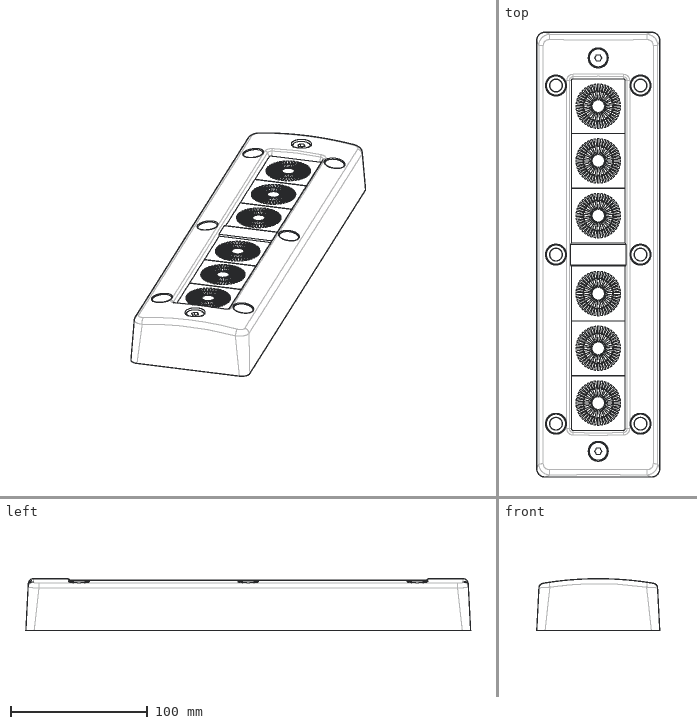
import cadquery as cq
import math

LENGTH = 325
WIDTH = 90.0
HEIGHT = 38.0
DRAFT_INSET = 2.0
BASE_CORNER_RADIUS = 6.2
TOP_CORNER_RADIUS = 8.5
CROWN_RADIUS = 243.8
TOP_EDGE_RADIUS = 4.0

MODULE_PITCH = 40.0
MODULES_PER_GROUP = 3
CENTRE_PANEL_LENGTH = 17.0
PANEL_RISE = 1.0
PANEL_SLOPE = 45
SEAM_SIZE = 0.15

FLOOR_WIDTH = 39.3
FLOOR_LENGTH = CENTRE_PANEL_LENGTH + 2 * MODULES_PER_GROUP * MODULE_PITCH
FLOOR_CORNER_RADIUS = 1.3
FLOOR_Z = 32.8
WALL_SLOPE = 25
RIM_RADIUS = 2.0
RIM_CLEARANCE = 0.5

GRILLE_DEPTH = 0.15
INNER_SLOT_COUNT = 20
INNER_SLOT_START = 4.5
INNER_SLOT_END = 10.5
INNER_SLOT_START_WIDTH = 0.5
INNER_SLOT_END_WIDTH = 2.0
OUTER_SLOT_COUNT = 40
OUTER_SLOT_START = 11.0
OUTER_SLOT_END = 16.2
OUTER_SLOT_WIDTH = 1.3

HOLE_DIAMETER = 9.0
COUNTERBORE_DIAMETER = 14.0
COUNTERBORE_FLOOR_Z = 28.0
COUNTERBORE_CHAMFER = 0.5
HOLE_X = 31.0
HOLE_PITCH = 123.5

SCREW_Y = 143.5
SCREW_HEAD_DIAMETER = 13
SCREW_RECESS_DIAMETER = 14.5
SCREW_HEAD_DROP = 1.3
SCREW_GAP_DEPTH = 2.5
SOCKET_SIDES = 6
SOCKET_WIDTH = 5.2
SOCKET_DEPTH = 2.0

MODULE_YS = [
    side * (CENTRE_PANEL_LENGTH / 2 + MODULE_PITCH * (index + 0.5))
    for side in (-1, 1)
    for index in range(MODULES_PER_GROUP)
]


def housing():
    base = cq.Sketch().rect(WIDTH, LENGTH).vertices().fillet(BASE_CORNER_RADIUS)
    top = (
        cq.Sketch()
        .rect(WIDTH - 2 * DRAFT_INSET, LENGTH - 2 * DRAFT_INSET)
        .vertices()
        .fillet(TOP_CORNER_RADIUS)
        .moved(cq.Location(cq.Vector(0, 0, HEIGHT)))
    )
    block = cq.Workplane("XY").placeSketch(base, top).loft()
    crown = (
        cq.Workplane("XZ")
        .center(0, HEIGHT - CROWN_RADIUS)
        .circle(CROWN_RADIUS)
        .extrude(LENGTH / 2, both=True)
    )
    return block.intersect(crown).faces(">Z").edges().fillet(TOP_EDGE_RADIUS)


def recessed(body):
    """Sinks the slope-sided recess into the crown and rounds its rim."""
    pocket = (
        cq.Workplane("XY", origin=(0, 0, FLOOR_Z))
        .sketch()
        .rect(FLOOR_WIDTH, FLOOR_LENGTH)
        .vertices()
        .fillet(FLOOR_CORNER_RADIUS)
        .finalize()
        .extrude(HEIGHT - FLOOR_Z, taper=-WALL_SLOPE)
    )
    wall_middle_z = (FLOOR_Z + HEIGHT) / 2
    rim = cq.selectors.BoxSelector(
        (-HOLE_X, -SCREW_Y, wall_middle_z + RIM_CLEARANCE), (HOLE_X, SCREW_Y, HEIGHT + RIM_CLEARANCE)
    )
    return body.cut(pocket).edges(rim).fillet(RIM_RADIUS)


def slot_ring(count, start, end, start_width, end_width):
    """Radial slots sunk below the recess floor, centred on the origin."""
    slot = (
        cq.Workplane("XY", origin=(0, 0, FLOOR_Z))
        .polyline(
            [
                (start, -start_width / 2),
                (end, -end_width / 2),
                (end, end_width / 2),
                (start, start_width / 2),
            ]
        )
        .close()
        .extrude(-GRILLE_DEPTH)
    )
    return [slot.val().rotate((0, 0, 0), (0, 0, 1), i * 360 / count) for i in range(count)]


def grille_slots():
    inner = slot_ring(
        INNER_SLOT_COUNT, INNER_SLOT_START, INNER_SLOT_END, INNER_SLOT_START_WIDTH, INNER_SLOT_END_WIDTH
    )
    outer = slot_ring(
        OUTER_SLOT_COUNT, OUTER_SLOT_START, OUTER_SLOT_END, OUTER_SLOT_WIDTH, OUTER_SLOT_WIDTH
    )
    return [slot.translate(cq.Vector(0, y, 0)) for y in MODULE_YS for slot in inner + outer]


def seams():
    """Fine grooves between neighbouring modules."""
    edges = [
        side * (CENTRE_PANEL_LENGTH / 2 + MODULE_PITCH * index)
        for side in (-1, 1)
        for index in range(1, MODULES_PER_GROUP)
    ]
    return (
        cq.Workplane("XY", origin=(0, 0, FLOOR_Z))
        .pushPoints([(0, y) for y in edges])
        .rect(FLOOR_WIDTH, SEAM_SIZE)
        .extrude(-SEAM_SIZE)
    )


def centre_panel():
    """Raised bar across the recess with sloped front and back, running into both side walls."""
    half_base = CENTRE_PANEL_LENGTH / 2
    half_top = half_base - PANEL_RISE / math.tan(math.radians(PANEL_SLOPE))
    half_width = FLOOR_WIDTH / 2 + PANEL_RISE * math.tan(math.radians(WALL_SLOPE))
    return (
        cq.Workplane("YZ", origin=(0, 0, FLOOR_Z))
        .polyline([(-half_base, 0), (half_base, 0), (half_top, PANEL_RISE), (-half_top, PANEL_RISE)])
        .close()
        .extrude(half_width, both=True)
    )


def drilled(body):
    """Cuts the mounting holes and chamfers the mouths of their counterbores."""
    points = [(side * HOLE_X, row * HOLE_PITCH) for side in (-1, 1) for row in (-1, 0, 1)]
    through = cq.Workplane("XY").pushPoints(points).circle(HOLE_DIAMETER / 2).extrude(HEIGHT)
    counterbores = (
        cq.Workplane("XY", origin=(0, 0, COUNTERBORE_FLOOR_Z))
        .pushPoints(points)
        .circle(COUNTERBORE_DIAMETER / 2)
        .extrude(HEIGHT - COUNTERBORE_FLOOR_Z)
    )
    body = body.cut(through).cut(counterbores)
    mouths = cq.selectors.BoxSelector(
        (HOLE_X - HOLE_DIAMETER / 2, -SCREW_Y, FLOOR_Z), (HOLE_X + HOLE_DIAMETER / 2, SCREW_Y, HEIGHT)
    )
    mirrored_mouths = cq.selectors.BoxSelector(
        (-HOLE_X - HOLE_DIAMETER / 2, -SCREW_Y, FLOOR_Z), (-HOLE_X + HOLE_DIAMETER / 2, SCREW_Y, HEIGHT)
    )
    return body.edges(mouths + mirrored_mouths).chamfer(COUNTERBORE_CHAMFER)


def with_end_screws(body):
    """Sinks the screw heads below the crown, with a gap around each and a hexagon socket."""
    top = cq.Workplane("XY", origin=(0, 0, HEIGHT)).pushPoints([(0, -SCREW_Y), (0, SCREW_Y)])
    gap = (
        top.circle(SCREW_RECESS_DIAMETER / 2)
        .circle(SCREW_HEAD_DIAMETER / 2)
        .extrude(-SCREW_GAP_DEPTH)
    )
    above_head = top.circle(SCREW_HEAD_DIAMETER / 2).extrude(-SCREW_HEAD_DROP)
    socket = top.polygon(SOCKET_SIDES, SOCKET_WIDTH).extrude(-SCREW_HEAD_DROP - SOCKET_DEPTH)
    return body.cut(gap).cut(above_head).cut(socket)


body = recessed(housing())
body = drilled(body)
body = body.union(centre_panel()).cut(seams())
body = with_end_screws(body)
result = cq.Workplane(body.val().cut(*grille_slots())).solids()